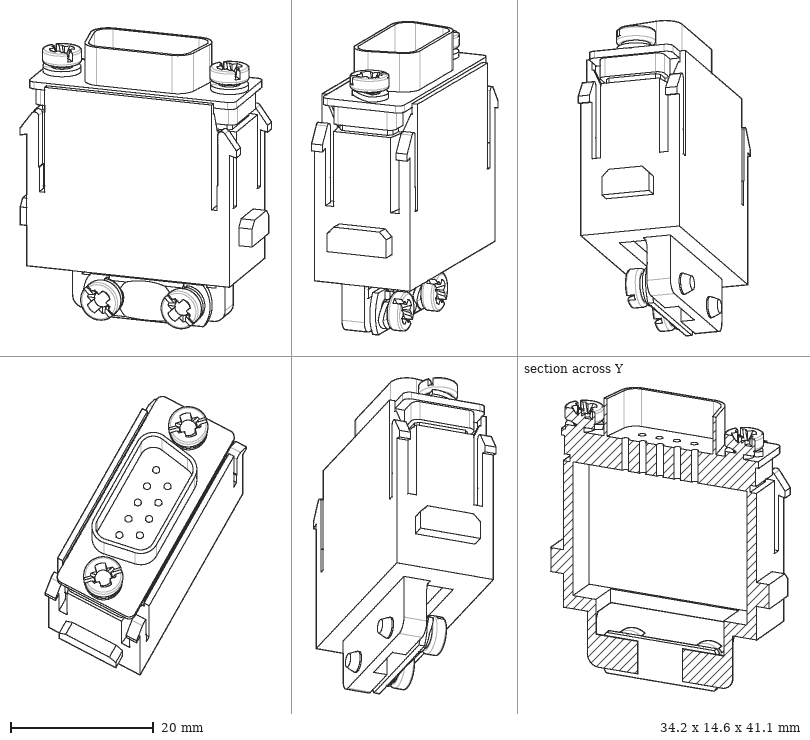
import cadquery as cq
import math


SIDES = (-1, 1)

OVERALL_X = 34.2
OVERALL_Y = 14.6
OVERALL_Z = 41.05
PART_BOTTOM = -8.75

BODY_HALF_X = 15.1
BODY_HALF_Y = OVERALL_Y / 2
WALL_TOP = 26.47
END_TOP = 21.95
LONG_WALL_HALF_X = 12.45
FLOOR_THICKNESS = 2.05
CAVITY_HALF_X = 13.55
CAVITY_HALF_Y = 3.7
OPENING_HALF_X = 9.97
OPENING_HALF_Y = 3.3

RECESS_HALF_Y = 6.5
FUNNEL_SHOULDER_Z = 24.9
FUNNEL_SHOULDER_HALF_Y = 6.28
FUNNEL_BOTTOM_HALF_Y = 4.92
FUNNEL_LENGTH = 0.82

SLOT_BOTTOM = 11.1
FRONT_SLOT_WIDTH = 0.8
ARM_INNER_X = LONG_WALL_HALF_X + FRONT_SLOT_WIDTH
ARM_WIDTH_Y = 1.7
ARM_INNER_Y = BODY_HALF_Y - ARM_WIDTH_Y
ARM_TOP = 22.7
ARM_STEP_X = 13.35
ARM_STEP_Z = 14.7
ARM_CREST_X = 13.95
ARM_TIP_OUTER_X = 14.4
ARM_TIP_OUTER_Z = 22.45
ARM_TIP_INNER_Z = 22.25
HOOK_X = 16.13
HOOK_UPPER_Z = 20.1
HOOK_LOWER_Z = 19.1
HOOK_ROOT_Z = 19.35
END_WALL_HALF_Y = 4.35
END_WALL_ROOT_HALF_Y = 4.7

LUG_TIP_X = OVERALL_X / 2
LUG_BOTTOM = 5.0
LUG_TOP = 8.65
LUG_CHAMFER = 1.03
LUG_LEFT_HALF_Y = 4.5
LUG_RIGHT_HALF_Y = 3.5

FLANGE_HALF_X = 15.4
FLANGE_HALF_Y = 6.15
FLANGE_BOTTOM = 25.7
FLANGE_THICKNESS = 1.03
FLANGE_TOP = FLANGE_BOTTOM + FLANGE_THICKNESS
CORNER_RADIUS = 1.0
HOUSING_HALF_X = 15.0
HOUSING_HALF_Y = 4.7
HOUSING_BOTTOM = 22.95
PLUG_HALF_X = 14.1
PLUG_HALF_Y = 4.02
PLUG_CORNER = 0.57
SHROUD_TOP = PART_BOTTOM + OVERALL_Z
SHROUD_HALF_Y = 4.75
SHROUD_MID_HALF_X = 8.55
SHROUD_SIDE_ANGLE = 10.0
SHROUD_RADIUS = 2.5
SHROUD_WALL = 0.55

PIN_DIAMETER = 1.0
PIN_PITCH = 2.7
PIN_ROW_Y = 1.27

SCREW_X = 12.48
HEAD_RADIUS = 2.75
HEAD_BOTTOM = 1.3
HEAD_TOP = 3.3
HEAD_EDGE = 0.25
HEAD_UNDER_ROUND = 0.45
SHANK_RADIUS = 3.0 / 2
NECK_RADIUS = 2.05
NECK_LENGTH = 0.35
WASHER_RADIUS = 2.65
WASHER_THICKNESS = 0.75
WASHER_RAMP_START_Y = -1.03
WASHER_RAMP_END_Y = 1.7
WASHER_RISE = 0.75
DRIVE_SLOT_WIDTH = 0.75
DRIVE_SLOT_DEPTH = 1.15
CROSS_WIDTH = 1.5
CROSS_TOP_RADIUS = 1.75
CROSS_BOTTOM_RADIUS = 1.15
CROSS_DEPTH = 1.45
CROSS_PIT_DEPTH = 0.6

SLAB_HALF_X = 11.35
SLAB_BOTTOM = -8.1
SLAB_FRONT_Y = 1.27
SLAB_BACK_Y = 4.7
SLAB_CORNER_RADIUS = 1.75
SLAB_FILLET_REACH = 0.55
SLAB_FILLET_DROP = 1.4
POCKET_BOTTOM = -3.15
CHANNEL_HALF_X = 3.5

CLAMP_SCREW_X = 6.0
CLAMP_SCREW_Z = -5.62
CLAMP_HALF_Z = 3.05
CLAMP_Z = PART_BOTTOM + CLAMP_HALF_Z
CLAMP_END_HALF_X = 8.4
CLAMP_MID_HALF_X = 9.45
CLAMP_THICKNESS = 0.85
CLAMP_FRONT_Y = SLAB_FRONT_Y - CLAMP_THICKNESS
RIDGE_HALF_X = 5.55
RIDGE_HEIGHT = 0.6
RIDGE_TAPER = 0.5
DISH_RADIUS = 9.03
DISH_BOTTOM_Y = 0.8
DISH_END_RISE = 0.7
TIP_END_RADIUS = 1.0
TIP_STEP = 0.2
TIP_LENGTH = 1.45


def box(x0, x1, y0, y1, z0, z1):
    """Block between two opposite corners."""
    return cq.Workplane("XY").box(x1 - x0, y1 - y0, z1 - z0, centered=False).translate((x0, y0, z0))


def mirror_x(shape):
    """The shape reflected to the opposite X side."""
    return shape.mirror("YZ")


def four_corners(shape):
    """The shape from the +X, -Y corner together with its three mirror images."""
    pair = shape.union(mirror_x(shape))
    return pair.union(pair.mirror("XZ"))


def make_body():
    """Hollow shell, open below, with a ledge and two end funnels between the long walls."""
    lower = box(-BODY_HALF_X, BODY_HALF_X, -BODY_HALF_Y, BODY_HALF_Y, 0, END_TOP)
    upper = box(-LONG_WALL_HALF_X, LONG_WALL_HALF_X, -BODY_HALF_Y, BODY_HALF_Y, END_TOP, WALL_TOP)
    recess = box(
        -LONG_WALL_HALF_X, LONG_WALL_HALF_X, -RECESS_HALF_Y, RECESS_HALF_Y,
        FUNNEL_SHOULDER_Z, WALL_TOP
    )
    funnel = (
        cq.Workplane("YZ", origin=(LONG_WALL_HALF_X - FUNNEL_LENGTH, 0, 0))
        .polyline([
            (-FUNNEL_BOTTOM_HALF_Y, END_TOP),
            (FUNNEL_BOTTOM_HALF_Y, END_TOP),
            (FUNNEL_SHOULDER_HALF_Y, FUNNEL_SHOULDER_Z),
            (-FUNNEL_SHOULDER_HALF_Y, FUNNEL_SHOULDER_Z),
        ])
        .close()
        .extrude(FUNNEL_LENGTH)
    )
    cavity = box(-CAVITY_HALF_X, CAVITY_HALF_X, -CAVITY_HALF_Y, CAVITY_HALF_Y, FLOOR_THICKNESS, END_TOP)
    opening = box(-OPENING_HALF_X, OPENING_HALF_X, -OPENING_HALF_Y, OPENING_HALF_Y, 0, FLOOR_THICKNESS)
    shell = lower.union(upper).cut(cavity).cut(opening)
    ledge_half_x = LONG_WALL_HALF_X - FUNNEL_LENGTH
    ledge = box(
        -ledge_half_x, ledge_half_x, -FUNNEL_SHOULDER_HALF_Y, FUNNEL_SHOULDER_HALF_Y,
        FUNNEL_SHOULDER_Z, FLANGE_BOTTOM
    )
    return shell.cut(recess).union(ledge).cut(funnel).cut(mirror_x(funnel))


def make_corner_gap():
    """Space freed around the latch arm at the +X, -Y corner."""
    return (
        cq.Workplane("XY")
        .workplane(offset=SLOT_BOTTOM)
        .polyline([
            (LONG_WALL_HALF_X, -BODY_HALF_Y),
            (BODY_HALF_X, -BODY_HALF_Y),
            (BODY_HALF_X, -END_WALL_HALF_Y),
            (LONG_WALL_HALF_X, -END_WALL_ROOT_HALF_Y),
        ])
        .close()
        .extrude(END_TOP - SLOT_BOTTOM)
    )


def make_latch_arm():
    """Latch arm with its hook at the +X, -Y corner."""
    return (
        cq.Workplane("XZ", origin=(0, -ARM_INNER_Y, 0))
        .moveTo(ARM_INNER_X, SLOT_BOTTOM)
        .lineTo(BODY_HALF_X, SLOT_BOTTOM)
        .lineTo(BODY_HALF_X, HOOK_ROOT_Z)
        .lineTo(HOOK_X, HOOK_LOWER_Z)
        .lineTo(HOOK_X, HOOK_UPPER_Z)
        .lineTo(ARM_TIP_OUTER_X, ARM_TIP_OUTER_Z)
        .threePointArc((ARM_CREST_X, ARM_TOP), (ARM_STEP_X, ARM_TIP_INNER_Z))
        .lineTo(ARM_STEP_X, ARM_STEP_Z)
        .lineTo(ARM_INNER_X, ARM_STEP_Z)
        .close()
        .extrude(ARM_WIDTH_Y)
    )


def make_lug(half_y):
    """Coding lug on the +X end, chamfered at its two upper corners."""
    length = LUG_TIP_X - BODY_HALF_X
    return (
        box(BODY_HALF_X, BODY_HALF_X + length, -half_y, half_y, LUG_BOTTOM, LUG_TOP)
        .edges("|X and >Z")
        .chamfer(LUG_CHAMFER)
    )


def shroud_outline(half_y, mid_half_x):
    """Corners of the tapered connector outline, wider towards +Y."""
    lean = half_y * math.tan(math.radians(SHROUD_SIDE_ANGLE))
    wide = mid_half_x + lean
    narrow = mid_half_x - lean
    return [(-narrow, -half_y), (narrow, -half_y), (wide, half_y), (-wide, half_y)]


def shroud_prism(inset):
    """Rounded connector prism on the flange, moved inwards all round by the inset."""
    mid_half_x = SHROUD_MID_HALF_X - inset / math.cos(math.radians(SHROUD_SIDE_ANGLE))
    return (
        cq.Workplane("XY")
        .workplane(offset=FLANGE_TOP)
        .polyline(shroud_outline(SHROUD_HALF_Y - inset, mid_half_x))
        .close()
        .extrude(SHROUD_TOP - FLANGE_TOP)
        .edges("|Z")
        .fillet(SHROUD_RADIUS - inset)
    )


def make_connector():
    """Flange with the housing and its foot below and the hollow shroud above."""
    flange = (
        box(-FLANGE_HALF_X, FLANGE_HALF_X, -FLANGE_HALF_Y, FLANGE_HALF_Y, FLANGE_BOTTOM, FLANGE_TOP)
        .edges("|Z")
        .fillet(CORNER_RADIUS)
    )
    housing = (
        box(-HOUSING_HALF_X, HOUSING_HALF_X, -HOUSING_HALF_Y, HOUSING_HALF_Y, HOUSING_BOTTOM, FLANGE_BOTTOM)
        .edges("|Z")
        .fillet(CORNER_RADIUS)
    )
    plug = (
        box(-PLUG_HALF_X, PLUG_HALF_X, -PLUG_HALF_Y, PLUG_HALF_Y, END_TOP, HOUSING_BOTTOM)
        .edges("|Z")
        .chamfer(PLUG_CORNER)
    )
    shroud = shroud_prism(0).cut(shroud_prism(SHROUD_WALL))
    return flange.union(housing).union(plug).union(shroud)


def make_pin_holes():
    """Five contact holes in the +Y row and four in the -Y row."""
    rows = ((5, PIN_ROW_Y), (4, -PIN_ROW_Y))
    points = [((i - (count - 1) / 2) * PIN_PITCH, y) for count, y in rows for i in range(count)]
    return (
        cq.Workplane("XY")
        .workplane(offset=END_TOP)
        .pushPoints(points)
        .circle(PIN_DIAMETER / 2)
        .extrude(FLANGE_TOP - END_TOP)
    )


def make_spring_washer():
    """Flat ring whose -X half bends upwards to a free end on the +Y side."""
    blank_height = WASHER_THICKNESS + WASHER_RISE
    blank = (
        cq.Workplane("XY")
        .circle(WASHER_RADIUS)
        .circle(SHANK_RADIUS)
        .extrude(blank_height)
    )
    flat_half = blank.intersect(
        box(0, WASHER_RADIUS, -WASHER_RADIUS, WASHER_RADIUS, 0, WASHER_THICKNESS)
    )
    ramp = (
        cq.Workplane("YZ")
        .polyline([
            (-WASHER_RADIUS, 0),
            (WASHER_RAMP_START_Y, 0),
            (WASHER_RAMP_END_Y, WASHER_RISE),
            (WASHER_RAMP_END_Y, blank_height),
            (WASHER_RAMP_START_Y, WASHER_THICKNESS),
            (-WASHER_RADIUS, WASHER_THICKNESS),
        ])
        .close()
        .extrude(-WASHER_RADIUS)
    )
    return flat_half.union(blank.intersect(ramp))


def make_cross_recess():
    """Tapered cross with a conical pit, sunk into the screw head at 45 degrees."""
    cone = (
        cq.Workplane("XZ")
        .polyline([
            (0, HEAD_TOP),
            (CROSS_TOP_RADIUS, HEAD_TOP),
            (CROSS_BOTTOM_RADIUS, HEAD_TOP - CROSS_DEPTH),
            (0, HEAD_TOP - CROSS_DEPTH - CROSS_PIT_DEPTH),
        ])
        .close()
        .revolve()
    )
    bar = cq.Workplane("XY").box(
        2 * CROSS_TOP_RADIUS, CROSS_WIDTH, HEAD_TOP, centered=(True, True, False)
    )
    cross = bar.union(bar.rotate((0, 0, 0), (0, 0, 1), 90))
    return cross.intersect(cone).rotate((0, 0, 0), (0, 0, 1), 45)


def make_screw():
    """Screw and washer standing on Z = 0 with the head upwards."""
    shank = (
        cq.Workplane("XZ")
        .polyline([
            (0, 0),
            (SHANK_RADIUS, 0),
            (SHANK_RADIUS, HEAD_BOTTOM - NECK_LENGTH),
            (NECK_RADIUS, HEAD_BOTTOM),
            (0, HEAD_BOTTOM),
        ])
        .close()
        .revolve()
    )
    head = (
        cq.Workplane("XY")
        .workplane(offset=HEAD_BOTTOM)
        .circle(HEAD_RADIUS)
        .extrude(HEAD_TOP - HEAD_BOTTOM)
        .faces(">Z")
        .edges()
        .fillet(HEAD_EDGE)
        .faces("<Z")
        .edges()
        .fillet(HEAD_UNDER_ROUND)
    )
    slot = (
        cq.Workplane("XY")
        .box(2 * HEAD_RADIUS, DRIVE_SLOT_WIDTH, DRIVE_SLOT_DEPTH, centered=(True, True, False))
        .translate((0, 0, HEAD_TOP - DRIVE_SLOT_DEPTH))
        .rotate((0, 0, 0), (0, 0, 1), -45)
    )
    return shank.union(head).union(make_spring_washer()).cut(slot).cut(make_cross_recess())


def make_slab():
    """Cable support with a pocket below the body and a channel behind the clamp."""
    slab = (
        box(-SLAB_HALF_X, SLAB_HALF_X, SLAB_FRONT_Y, SLAB_BACK_Y, SLAB_BOTTOM, FLOOR_THICKNESS)
        .edges("|Y and <Z")
        .fillet(SLAB_CORNER_RADIUS)
    )
    radius = (SLAB_FILLET_REACH**2 + SLAB_FILLET_DROP**2) / (2 * SLAB_FILLET_REACH)
    half_drop = SLAB_FILLET_DROP / 2
    mid_reach = radius - math.sqrt(radius**2 - half_drop**2)
    web = (
        cq.Workplane("YZ")
        .moveTo(SLAB_FRONT_Y, 0)
        .lineTo(SLAB_FRONT_Y - SLAB_FILLET_REACH, 0)
        .threePointArc(
            (SLAB_FRONT_Y - mid_reach, -half_drop),
            (SLAB_FRONT_Y, -SLAB_FILLET_DROP),
        )
        .close()
        .extrude(SLAB_HALF_X, both=True)
    )
    pocket = box(
        -OPENING_HALF_X, OPENING_HALF_X, -OPENING_HALF_Y, OPENING_HALF_Y, POCKET_BOTTOM, FLOOR_THICKNESS
    )
    channel = box(
        -CHANNEL_HALF_X, CHANNEL_HALF_X, SLAB_FRONT_Y, OPENING_HALF_Y, SLAB_BOTTOM, POCKET_BOTTOM
    )
    return slab.union(web).cut(pocket).cut(channel)


def make_clamp_plate():
    """Clamp plate with arched ends and a dished ridge across its middle."""
    plate = (
        cq.Workplane("XZ", origin=(0, SLAB_FRONT_Y, CLAMP_Z))
        .moveTo(-CLAMP_END_HALF_X, -CLAMP_HALF_Z)
        .lineTo(CLAMP_END_HALF_X, -CLAMP_HALF_Z)
        .threePointArc((CLAMP_MID_HALF_X, 0), (CLAMP_END_HALF_X, CLAMP_HALF_Z))
        .lineTo(-CLAMP_END_HALF_X, CLAMP_HALF_Z)
        .threePointArc((-CLAMP_MID_HALF_X, 0), (-CLAMP_END_HALF_X, -CLAMP_HALF_Z))
        .close()
        .extrude(CLAMP_THICKNESS)
    )
    base_y = CLAMP_FRONT_Y
    top_y = base_y - RIDGE_HEIGHT
    top_half_z = CLAMP_HALF_Z - RIDGE_TAPER
    ridge = (
        cq.Workplane("YZ", origin=(0, 0, CLAMP_Z))
        .polyline([
            (base_y, -CLAMP_HALF_Z),
            (top_y, -top_half_z),
            (top_y, top_half_z),
            (base_y, CLAMP_HALF_Z),
        ])
        .close()
        .extrude(RIDGE_HALF_X, both=True)
    )
    end_radius = DISH_RADIUS - DISH_END_RISE
    dish = (
        cq.Workplane("XZ")
        .moveTo(0, -CLAMP_HALF_Z)
        .lineTo(end_radius, -CLAMP_HALF_Z)
        .threePointArc((DISH_RADIUS, 0), (end_radius, CLAMP_HALF_Z))
        .lineTo(0, CLAMP_HALF_Z)
        .close()
        .revolve(360, (0, 0, 0), (0, 1, 0))
        .translate((0, DISH_BOTTOM_Y - DISH_RADIUS, CLAMP_Z))
    )
    return plate.union(ridge).cut(dish)


def make_clamp_fastening():
    """Screw with washer and protruding screw tip on the Z axis, seated at Z = 0."""
    back_depth = SLAB_BACK_Y - CLAMP_FRONT_Y
    tip_end = back_depth + TIP_LENGTH
    shank = (
        cq.Workplane("XZ")
        .polyline([
            (0, 0),
            (SHANK_RADIUS, 0),
            (SHANK_RADIUS, -back_depth - TIP_STEP),
            (TIP_END_RADIUS, -tip_end),
            (0, -tip_end),
        ])
        .close()
        .revolve()
    )
    return make_screw().union(shank)


result = make_body().cut(four_corners(make_corner_gap())).union(four_corners(make_latch_arm()))
result = result.union(make_lug(LUG_RIGHT_HALF_Y)).union(mirror_x(make_lug(LUG_LEFT_HALF_Y)))
result = result.union(make_connector()).cut(make_pin_holes())
result = result.union(make_slab()).union(make_clamp_plate())

flange_screw = make_screw()
clamp_fastening = make_clamp_fastening().rotate((0, 0, 0), (1, 0, 0), 90)
for side in SIDES:
    result = result.union(flange_screw.translate((side * SCREW_X, 0, FLANGE_TOP)))
    clamp_seat = (side * CLAMP_SCREW_X, CLAMP_FRONT_Y, CLAMP_SCREW_Z)
    result = result.union(clamp_fastening.translate(clamp_seat))